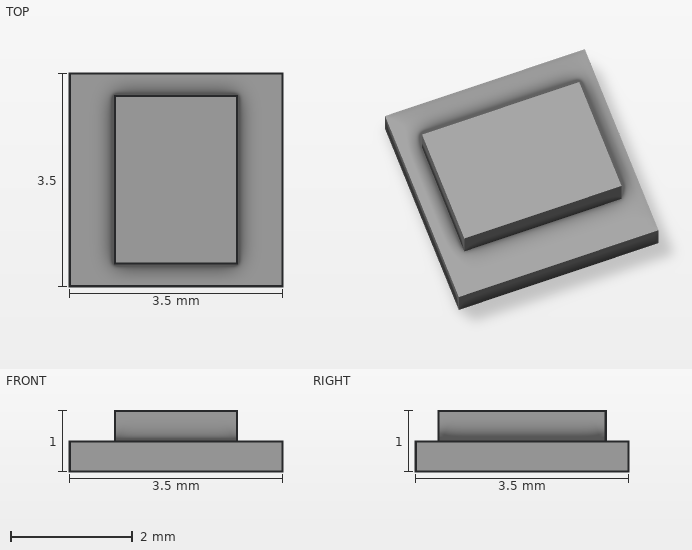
import cadquery as cq

plate_side = 3.5
plate_thickness = 0.5

block_width = 2.01
block_length = 2.755
block_height = 0.5

plate = cq.Workplane("XY").box(
    plate_side, plate_side, plate_thickness, centered=(True, True, False)
)

block = (
    cq.Workplane("XY")
    .workplane(offset=plate_thickness)
    .box(block_width, block_length, block_height, centered=(True, True, False))
)

result = plate.union(block)